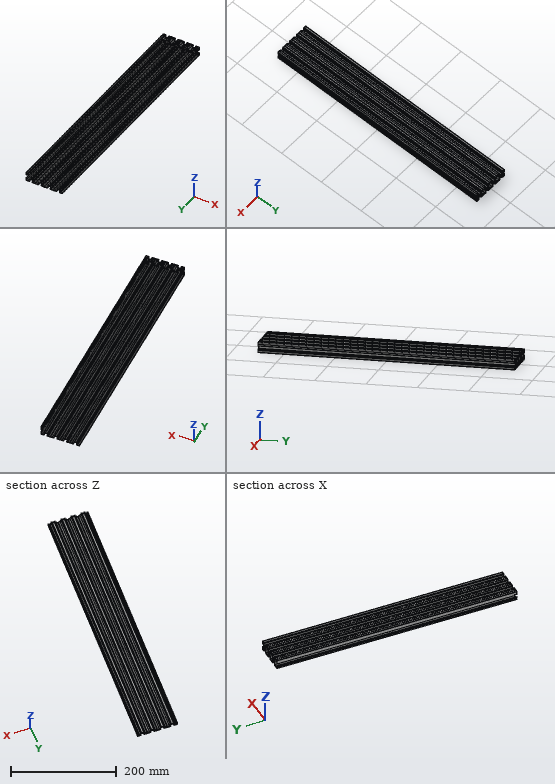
import cadquery as cq
import math

cell_size = 20.0
cell_count = 4
length = 500.0
width = cell_count * cell_size
half_cell = cell_size / 2
corner_radius = 1.5

core_half = 4.0
bore_diameter = 4.2

mouth_half = 3.6
throat_half = 3.1
undercut_half = 6.0
lip_thickness = 1.8

web_thickness = 1.7
slot_floor_half = core_half - web_thickness / math.sqrt(2)


cell_centers = [(i - (cell_count - 1) / 2) * cell_size for i in range(cell_count)]
cavity_centers = [x + half_cell for x in cell_centers[:-1]]


def extrude_outline(points):
    """Extrude a closed X-Z outline over the full length, centred on Y = 0."""
    return cq.Workplane("XZ").polyline(points).close().extrude(length / 2, both=True)


def slot_cutter():
    """T-slot opening toward +Z, for a cell centred on the Y axis."""
    lip_underside = half_cell - lip_thickness
    throat_top = half_cell - (mouth_half - throat_half)
    wall_foot = core_half + undercut_half - slot_floor_half
    right_side = [
        (slot_floor_half, core_half),
        (undercut_half, wall_foot),
        (undercut_half, lip_underside),
        (throat_half, lip_underside),
        (throat_half, throat_top),
        (mouth_half, half_cell),
    ]
    left_side = [(-x, z) for x, z in reversed(right_side)]
    return extrude_outline(right_side + left_side)


def cavity_cutter():
    """Eight-sided cavity between two neighbouring cores, centred on the Y axis."""
    side = half_cell - core_half
    top = half_cell - lip_thickness
    top_half = side + slot_floor_half - top
    upper_edge = [(side, slot_floor_half), (top_half, top), (-top_half, top), (-side, slot_floor_half)]
    lower_edge = [(-x, -z) for x, z in upper_edge]
    return extrude_outline(upper_edge + lower_edge)


def turned(cutter, angle):
    """Turn a cutter about the Y axis."""
    return cutter.rotate((0, 0, 0), (0, 1, 0), angle)


result = cq.Workplane("XY").box(width, length, cell_size).edges("|Y").fillet(corner_radius)

slot = slot_cutter()
for x in cell_centers:
    for angle in (0, 180):
        result = result.cut(turned(slot, angle).translate((x, 0, 0)))

result = result.cut(turned(slot, 90).translate((cell_centers[-1], 0, 0)))
result = result.cut(turned(slot, -90).translate((cell_centers[0], 0, 0)))

cavity = cavity_cutter()
for x in cavity_centers:
    result = result.cut(cavity.translate((x, 0, 0)))

bore = cq.Workplane("XZ").circle(bore_diameter / 2).extrude(length / 2, both=True)
for x in cell_centers:
    result = result.cut(bore.translate((x, 0, 0)))